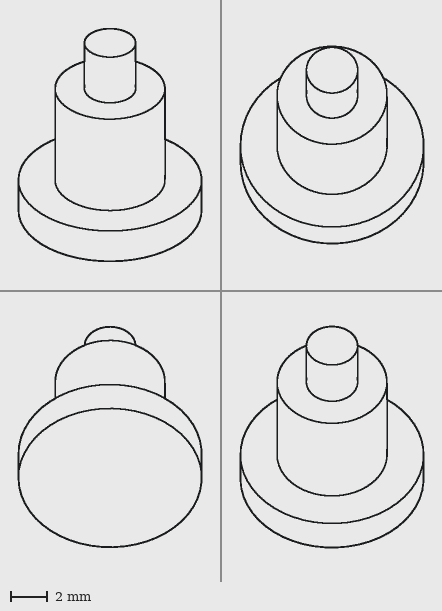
import cadquery as cq

flange_diameter = 10.0
flange_height = 2.0
body_diameter = 6.0
body_height = 6.0
tip_diameter = 2.8
tip_height = 3.0


def add_step(base, diameter, height):
    """Stack a coaxial cylinder on the top face of the base."""
    return base.faces(">Z").workplane().circle(diameter / 2).extrude(height)


flange = cq.Workplane("XY").circle(flange_diameter / 2).extrude(flange_height)
flange_and_body = add_step(flange, body_diameter, body_height)
result = add_step(flange_and_body, tip_diameter, tip_height)